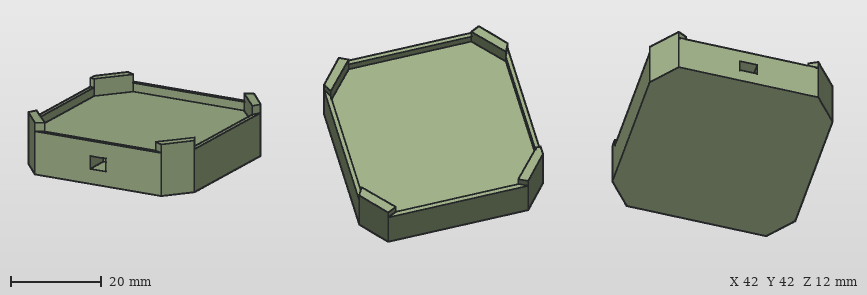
import cadquery as cq

side = 42.0
wall = 1.0
rim_height = 10.0
post_height = 12.0
pocket_floor = 8.0

outer_cut_x = 5.0
outer_cut_y = 6.0
inner_cut_x = 6.0
inner_cut_y = 7.0

window_width = 4.0
window_height = 3.0
window_depth = 6.0
window_centre_z = rim_height / 2


def corner_cut_square(width, cut_x, cut_y, bottom, top):
    """Square prism whose four vertical corners are cut off by flat faces."""
    half = width / 2
    near_x = half - cut_x
    near_y = half - cut_y
    outline = [
        (near_x, half), (half, near_y),
        (half, -near_y), (near_x, -half),
        (-near_x, -half), (-half, -near_y),
        (-half, near_y), (-near_x, half),
    ]
    return cq.Workplane("XY").workplane(offset=bottom).polyline(outline).close().extrude(top - bottom)


def corner_post(sign_x, sign_y, square_side_end):
    """Post on one cut corner, its ends mitred from the outer to the inner outline.

    With square_side_end, the end on the X side runs straight across the wall instead.
    """
    outer = side / 2
    inner = outer - wall
    outline = [
        (outer - outer_cut_x, outer),
        (outer, outer - outer_cut_y),
        (inner, inner - inner_cut_y),
        (inner - inner_cut_x, inner),
    ]
    if square_side_end:
        outline.insert(2, (outer, inner - inner_cut_y))
    points = [(sign_x * x, sign_y * y) for x, y in outline]
    return cq.Workplane("XY").polyline(points).close().extrude(post_height)


def window():
    """Blind rectangular recess entering the solid base from the -Y face, below the pocket."""
    recess = cq.Workplane("XY").box(window_width, window_depth, window_height)
    return recess.translate((0, (window_depth - side) / 2, window_centre_z))


base = corner_cut_square(side, outer_cut_x, outer_cut_y, 0, rim_height)
pocket = corner_cut_square(side - 2 * wall, inner_cut_x, inner_cut_y, pocket_floor, rim_height)
result = base.cut(pocket)
for sign_x in (-1, 1):
    for sign_y in (-1, 1):
        is_back_left = sign_x < 0 < sign_y
        result = result.union(corner_post(sign_x, sign_y, square_side_end=is_back_left))
result = result.cut(window())